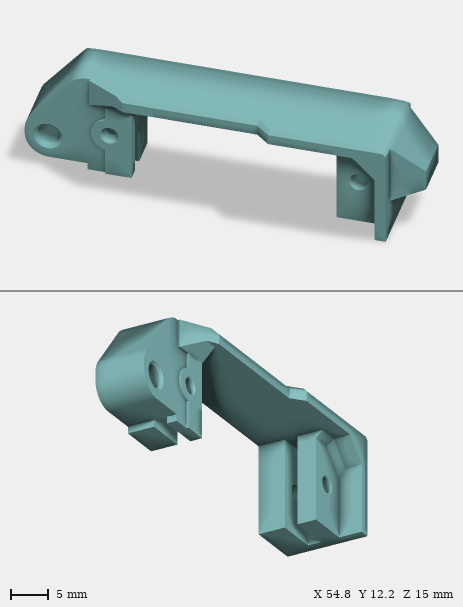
import cadquery as cq
import math

LENGTH = 54.8
DEPTH = 12.2
HEIGHT = 15.0

PLATE_THICKNESS = 2.05
PLATE_BOTTOM = HEIGHT - PLATE_THICKNESS
FRONT_CHAMFER = 0.55
BACK_CHAMFER = 0.8
CORNER_RADIUS = 3.3
PLATE_START = 8.95
PLATE_SLANT_END = 14.25
PLATE_NARROW_FRONT = 1.6
PLATE_STEP_START = 32.75
PLATE_STEP_END = 34.65

EAR_FRONT = 4.75
EAR_BOTTOM = 1.0
EAR_SHOULDER = 6.35
EAR_SLOPE_TOP = 7.05
HINGE_X = 3.2
HINGE_Z = 4.4
HINGE_DIAMETER = 3.2
HINGE_RIM_DIAMETER = 4.0
LEFT_LEG_START = 8.6
LEFT_LEG_END = 14.75
PAD_START = 11.1
PAD_FRONT = 4.45
PAD_RADIUS = 2.5
BRACE_FRONT = 2.45

WALL_THICKNESS = 1.55
WALL_OUTER = 50.8
WALL_INNER = WALL_OUTER - WALL_THICKNESS
RIGHT_LEG_START = 43.15
RIGHT_LEG_FRONT = 3.45
GUSSET_SIZE = 3.05
INNER_BEVEL = 1.0
SWEEP_REACH = 4 * GUSSET_SIZE

TAB_BOTTOM = 5.4
TAB_SHOULDER = 8.45
TAB_SLOPE_TOP = 50.2
TAB_BACK = 11.6
TAB_ROOT_FRONT = 1.85
TAB_TIP_FRONT = 5.55

SCREW_X = (11.65, 46.1)
SCREW_Z = 6.4
SCREW_DIAMETER = 2.2
SCREW_RIM_DIAMETER = 2.6
SLOT_FRONT = 6.25
SLOT_BACK = 8.2


def box(x0, x1, y0, y1, z0, z1):
    """Block between two opposite corners."""
    return cq.Workplane("XY").box(x1 - x0, y1 - y0, z1 - z0, centered=False).translate((x0, y0, z0))


def extrude_y(profile, y0, y1):
    """Prism along Y from an XZ polygon."""
    return cq.Workplane("XZ", origin=(0, y0, 0)).polyline(profile).close().extrude(y0 - y1)


def extrude_x(profile, x0, x1):
    """Prism along X from a YZ polygon."""
    return cq.Workplane("YZ", origin=(x0, 0, 0)).polyline(profile).close().extrude(x1 - x0)


def extrude_z(profile, z0, z1):
    """Prism along Z from an XY polygon."""
    return cq.Workplane("XY", origin=(0, 0, z0)).polyline(profile).close().extrude(z1 - z0)


def cylinder_y(x, z, radius, y0, y1):
    """Cylinder along Y."""
    return cq.Workplane("XZ", origin=(x, y0, z)).circle(radius).extrude(y0 - y1)


def side_envelope():
    """Rounded side outline that bounds the whole part."""
    outline = [
        (0, 0),
        (0, EAR_SHOULDER),
        (EAR_SLOPE_TOP, HEIGHT),
        (TAB_SLOPE_TOP, HEIGHT),
        (LENGTH, TAB_SHOULDER),
        (LENGTH, 0),
    ]
    rounded_points = outline[1:4]
    body = extrude_y(outline, 0, DEPTH)
    for x, z in rounded_points:
        corner = cq.selectors.NearestToPointSelector((x, DEPTH / 2, z))
        body = body.edges("|Y").edges(corner).fillet(CORNER_RADIUS)
    return body


def plan_outline():
    """Plan of the plate, with its slanted and stepped front edge."""
    return [
        (PLATE_START, DEPTH),
        (PLATE_START, PAD_FRONT),
        (PLATE_SLANT_END, PLATE_NARROW_FRONT),
        (PLATE_STEP_START, PLATE_NARROW_FRONT),
        (PLATE_STEP_END, 0),
        (WALL_OUTER, 0),
        (WALL_OUTER, DEPTH),
    ]


def plate():
    """Top plate with the front edge chamfered right of the slanted stretch."""
    body = extrude_z(plan_outline(), PLATE_BOTTOM, HEIGHT)
    front_edge_points = [
        ((PLATE_SLANT_END + PLATE_STEP_START) / 2, PLATE_NARROW_FRONT),
        ((PLATE_STEP_START + PLATE_STEP_END) / 2, PLATE_NARROW_FRONT / 2),
        ((PLATE_STEP_END + WALL_OUTER) / 2, 0),
    ]
    edges = cq.Workplane("XY")
    for x, y in front_edge_points:
        edges = edges.add(body.edges(cq.selectors.NearestToPointSelector((x, y, HEIGHT))))
    return body.newObject(edges.vals()).chamfer(FRONT_CHAMFER)


def hinge_ear():
    """Ear left of the left leg, rounded under the hinge hole."""
    ear = box(0, LEFT_LEG_START, EAR_FRONT, DEPTH, EAR_BOTTOM, HEIGHT)
    return ear.edges("|Y and <X and <Z").fillet(CORNER_RADIUS)


def left_leg():
    """Left leg with a raised screw pad and a sloping brace under the plate."""
    leg = box(LEFT_LEG_START, LEFT_LEG_END, EAR_FRONT, DEPTH, 0, HEIGHT)
    pad = box(PAD_START, LEFT_LEG_END, PAD_FRONT, EAR_FRONT, 0, PLATE_BOTTOM)
    round_pad = cylinder_y(SCREW_X[0], SCREW_Z, PAD_RADIUS, PAD_FRONT, EAR_FRONT)
    brace_bottom = PLATE_BOTTOM - (PAD_FRONT - BRACE_FRONT)
    brace_profile = [
        (EAR_FRONT, brace_bottom),
        (PAD_FRONT, brace_bottom),
        (BRACE_FRONT, PLATE_BOTTOM),
        (EAR_FRONT, PLATE_BOTTOM),
    ]
    brace = extrude_x(brace_profile, PLATE_START, LEFT_LEG_END)
    brace = brace.intersect(extrude_z(plan_outline(), 0, HEIGHT))
    return leg.union(pad).union(round_pad).union(brace)


def gusset_profile(drop):
    """Area under the plate and beside the wall, lowered by an offset normal to its edges."""
    corner_x = WALL_INNER - GUSSET_SIZE - drop * math.tan(math.radians(22.5))
    end_z = PLATE_BOTTOM - GUSSET_SIZE - drop * math.sqrt(2)
    return [
        (RIGHT_LEG_START, HEIGHT - FRONT_CHAMFER),
        (RIGHT_LEG_START, PLATE_BOTTOM - drop),
        (corner_x, PLATE_BOTTOM - drop),
        (WALL_INNER, end_z),
        (WALL_INNER, HEIGHT - FRONT_CHAMFER),
    ]


def inner_bevel():
    """45 degree bevel joining the right block to the plate and the gusset."""
    near_y = RIGHT_LEG_FRONT - INNER_BEVEL
    flat_profile = [
        (near_y, PLATE_BOTTOM),
        (RIGHT_LEG_FRONT, PLATE_BOTTOM - INNER_BEVEL),
        (RIGHT_LEG_FRONT, PLATE_BOTTOM),
    ]
    flat = extrude_x(flat_profile, RIGHT_LEG_START, WALL_INNER)
    sweep_plane = cq.Plane(
        origin=(WALL_INNER - GUSSET_SIZE, 0, PLATE_BOTTOM),
        xDir=(0, 1, 0),
        normal=(1, 0, -1),
    )
    sloped_profile = [
        (near_y, 0),
        (RIGHT_LEG_FRONT, 0),
        (RIGHT_LEG_FRONT, -INNER_BEVEL),
    ]
    sloped = cq.Workplane(sweep_plane).polyline(sloped_profile).close().extrude(SWEEP_REACH, both=True)
    bounds = extrude_y(gusset_profile(INNER_BEVEL), near_y, RIGHT_LEG_FRONT)
    return flat.union(sloped.intersect(bounds))


def right_leg():
    """Right leg closed by the end wall, braced by the gusset."""
    block = box(RIGHT_LEG_START, WALL_INNER, RIGHT_LEG_FRONT, DEPTH, 0, PLATE_BOTTOM)
    wall = box(WALL_INNER, WALL_OUTER, 0, DEPTH, 0, HEIGHT - FRONT_CHAMFER)
    gusset = extrude_y(gusset_profile(0), 0, DEPTH)
    return block.union(wall).union(gusset).union(inner_bevel())


def end_tab():
    """Tab that tapers in plan towards the right end."""
    plan = [
        (WALL_INNER, TAB_BACK),
        (WALL_INNER, TAB_ROOT_FRONT),
        (WALL_OUTER, TAB_ROOT_FRONT),
        (LENGTH, TAB_TIP_FRONT),
        (LENGTH, TAB_BACK),
    ]
    return extrude_z(plan, TAB_BOTTOM, HEIGHT - FRONT_CHAMFER)


def back_chamfer():
    """Cutter along the top back edge."""
    profile = [
        (DEPTH - BACK_CHAMFER, HEIGHT),
        (DEPTH, HEIGHT - BACK_CHAMFER),
        (DEPTH, HEIGHT),
    ]
    return extrude_x(profile, 0, LENGTH)


def rimmed_hole(x, z, diameter, rim_diameter, front):
    """Through hole along Y with a 45 degree countersunk rim at its front face."""
    rim_depth = (rim_diameter - diameter) / 2
    cone = cq.Solid.makeCone(
        rim_diameter / 2,
        diameter / 2,
        rim_depth,
        pnt=cq.Vector(x, front, z),
        dir=cq.Vector(0, 1, 0),
    )
    return cylinder_y(x, z, diameter / 2, front, DEPTH).union(cq.Workplane(cone))


body = plate().union(hinge_ear()).union(left_leg()).union(right_leg()).union(end_tab())
body = body.intersect(side_envelope()).cut(back_chamfer())

for start, end in ((LEFT_LEG_START, LEFT_LEG_END), (RIGHT_LEG_START, WALL_INNER)):
    body = body.cut(box(start, end, SLOT_FRONT, SLOT_BACK, 0, PLATE_BOTTOM))

body = body.cut(rimmed_hole(HINGE_X, HINGE_Z, HINGE_DIAMETER, HINGE_RIM_DIAMETER, EAR_FRONT))
for x, front in zip(SCREW_X, (PAD_FRONT, RIGHT_LEG_FRONT)):
    body = body.cut(rimmed_hole(x, SCREW_Z, SCREW_DIAMETER, SCREW_RIM_DIAMETER, front))

result = body